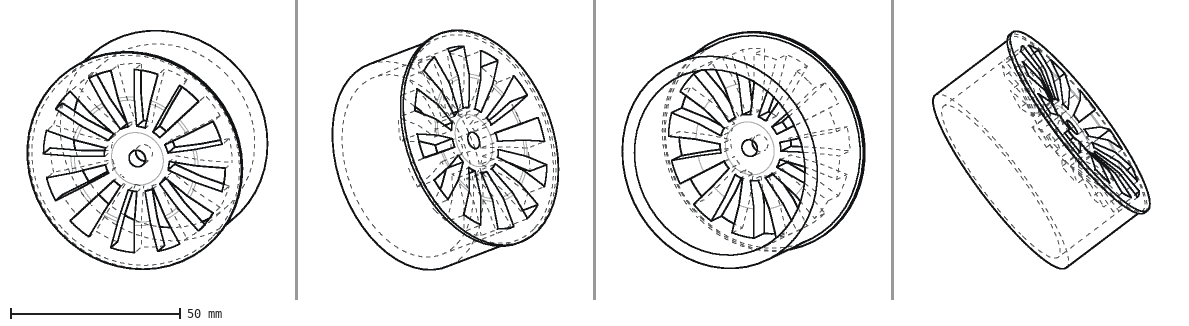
import cadquery as cq
import math

flange_radius = 33.0
flange_thickness = 1.2
barrel_radius = 32.0
wheel_width = 30.0
bore_radius = 28.0

hub_radius = 8.0
axle_hole_radius = 2.5
dish_radius = 19.1
dish_depth = 3.0
dish_edge_radius = 3.8
disc_thickness = 7.0
disc_radius = (bore_radius + barrel_radius) / 2

window_count = 12
window_inner_radius = 10.0
window_angle = 15.0
window_pitch = 360.0 / window_count

cone_angle = math.atan2(dish_depth, dish_radius - hub_radius)
rim_tangent = dish_edge_radius * math.tan(cone_angle / 2)
rim_outer = (dish_radius + rim_tangent, 0)
rim_inner = (
    dish_radius - rim_tangent * math.cos(cone_angle),
    rim_tangent * math.sin(cone_angle),
)
rim_middle = (
    rim_outer[0] - dish_edge_radius * math.sin(cone_angle / 2),
    dish_edge_radius * (1 - math.cos(cone_angle / 2)),
)


def revolve_about_axle(profile):
    return profile.close().revolve(360, (0, 0, 0), (0, 1, 0))


def make_barrel():
    """Open tube with the flange at its front end."""
    profile = (
        cq.Workplane("XY")
        .moveTo(bore_radius, 0)
        .lineTo(flange_radius, 0)
        .lineTo(flange_radius, flange_thickness)
        .lineTo(barrel_radius, flange_thickness)
        .lineTo(barrel_radius, wheel_width)
        .lineTo(bore_radius, wheel_width)
    )
    return revolve_about_axle(profile)


def make_disc():
    """Dished disc reaching into the barrel wall, before the windows are cut."""
    disc_back = disc_thickness + dish_depth
    profile = (
        cq.Workplane("XY")
        .moveTo(axle_hole_radius, dish_depth)
        .lineTo(hub_radius, dish_depth)
        .lineTo(*rim_inner)
        .threePointArc(rim_middle, rim_outer)
        .lineTo(disc_radius, 0)
        .lineTo(disc_radius, disc_thickness)
        .lineTo(dish_radius, disc_thickness)
        .lineTo(hub_radius, disc_back)
        .lineTo(axle_hole_radius, disc_back)
    )
    return revolve_about_axle(profile)


def polar(radius, angle):
    """Point in the XZ plane, with the angle measured clockwise from +Z."""
    turn = math.radians(angle)
    return (radius * math.sin(turn), radius * math.cos(turn))


def make_window(start):
    """Wedge through the disc, clockwise from the start angle; the barrel closes its outer end."""
    middle = start + window_angle / 2
    end = start + window_angle
    return (
        cq.Workplane("XZ")
        .moveTo(*polar(window_inner_radius, start))
        .lineTo(*polar(flange_radius, start))
        .lineTo(*polar(flange_radius, end))
        .lineTo(*polar(window_inner_radius, end))
        .threePointArc(polar(window_inner_radius, middle), polar(window_inner_radius, start))
        .close()
        .extrude(-wheel_width)
    )


disc = make_disc()
for index in range(window_count):
    disc = disc.cut(make_window(index * window_pitch))

result = disc.union(make_barrel())